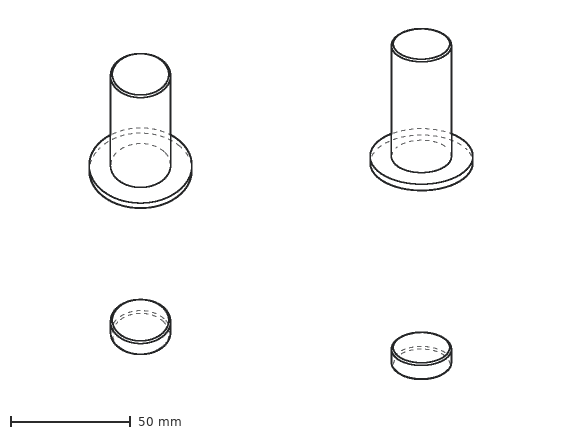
import cadquery as cq

total_height = 159.0

shank_diameter = 25.1
flange_diameter = 43.0
flange_thickness = 3.2
pin_length = 59.0
edge_chamfer = 0.8

disc_diameter = shank_diameter
disc_thickness = 8.3

pin_base = total_height - pin_length


def cylinder(diameter, height, base):
    """Upright cylinder on the Z axis, starting at the given height."""
    return cq.Workplane("XY").workplane(offset=base).circle(diameter / 2).extrude(height)


def make_pin():
    """Shank with a chamfered top end, standing on a thin round flange."""
    flange = cylinder(flange_diameter, flange_thickness, pin_base)
    shank = cylinder(shank_diameter, pin_length, pin_base).faces(">Z").edges().chamfer(edge_chamfer)
    return flange.union(shank)


def make_disc():
    """Short disc chamfered around both end faces."""
    return cylinder(disc_diameter, disc_thickness, 0).faces("<Z or >Z").edges().chamfer(edge_chamfer)


pin = make_pin()
disc = make_disc()

result = cq.Compound.makeCompound([pin.val(), disc.val()])